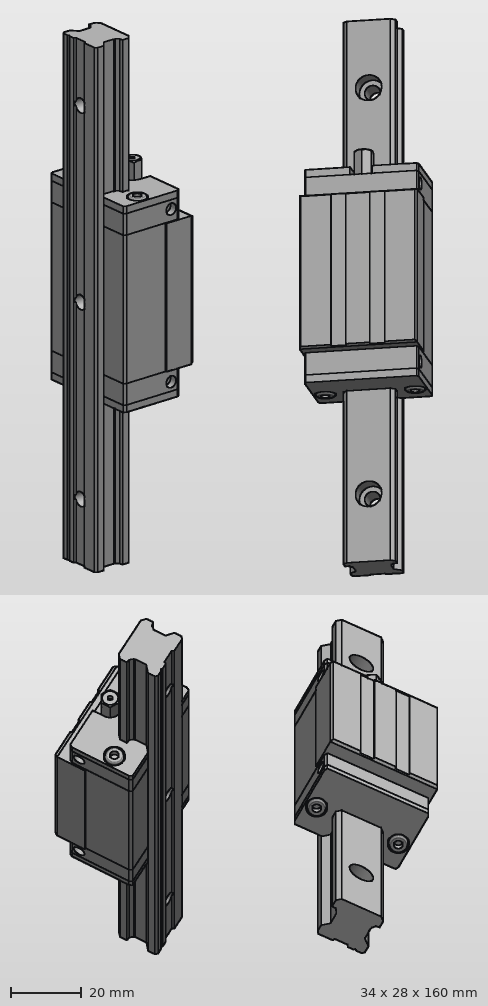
import cadquery as cq
import math

RAIL_LENGTH = 160.0
RAIL_HEIGHT = 13.1
RAIL_HALF_WIDTH = 7.5
RAIL_HALF_TOP = 6.2
RAIL_HALF_WAIST = 5.5
SHOULDER_Y = 12.0
HEAD_UNDERSIDE_Y = 9.8
HEAD_LIP = 1.1
HEAD_LIP_DROP = 0.2
WAIST_TOP_Y = 8.2
BEND_INSET = 0.2
BEND_RISE = 0.5
WAIST_BOTTOM_Y = 4.6
FOOT_Y = 2.9
FOOT_CHAMFER = 0.6
BASE_GROOVE_HALF_WIDTH = 2.4
BASE_GROOVE_HALF_FLOOR = 2.0
BASE_GROOVE_DEPTH = 0.6
MARK_GROOVE_X = -4.6
MARK_GROOVE_HALF_WIDTH = 0.5
MARK_GROOVE_DEPTH = 0.3
RAIL_HOLE_PITCH = 60.0
RAIL_HOLE_COUNT = 3
RAIL_HOLE_DIAMETER = 4.5
RAIL_BORE_DIAMETER = 7.5
RAIL_BORE_DEPTH = 5.3

CARRIAGE_Z = 2.2
CARRIAGE_BOTTOM_Y = 3.0
BLOCK_LENGTH = 45.3
BLOCK_TOP_Y = 28.0
BLOCK_WIDTH = 34.0
BLOCK_STEP_Y = 18.0
TOP_GROOVE_X = 5.6
TOP_GROOVE_WIDTH = 4.3
TOP_GROOVE_DEPTH = 0.5
CAP_WIDTH = 33.0
CAP_TOP_Y = 23.4
CAP_LENGTH = 6.5
SEAL_THICKNESS = 2.2
CHAMFER_INSET = 0.5
CHAMFER_DROP = 1.0

SIDE_HOLE_DIAMETER = 3.5
SIDE_HOLE_DEPTH = 2.4
SIDE_HOLE_Y = 20.2
SIDE_HOLE_FROM_BLOCK = 3.7

BUTTON_X = 13.0
BUTTON_Y = 10.7
BUTTON_DIAMETER = 5.5
BUTTON_HEIGHT = 0.5
BUTTON_FILLET = 0.5
BUTTON_SOCKET_DIAMETER = 2.5
BUTTON_SOCKET_DEPTH = 2.0
BUTTON_MOAT_DIAMETER = 6.0
BUTTON_MOAT_DEPTH = 0.8

NIPPLE_Y = 19.5
NIPPLE_SLOT_WIDTH = 6.4
NIPPLE_ACROSS_CORNERS = 5.8
NIPPLE_HEIGHT = 5.6
NIPPLE_TOP_DIAMETER = 4.5
NIPPLE_CHAMFER_DROP = 0.5
NIPPLE_HOLE_DIAMETER = 1.5
NIPPLE_HOLE_DEPTH = 1.6

BLOCK_END = BLOCK_LENGTH / 2
CAP_END = BLOCK_END + CAP_LENGTH
SEAL_END = CAP_END + SEAL_THICKNESS


def along_rail(points):
    """Prism with the given XY outline, along the whole rail length."""
    outline = cq.Workplane("XY").polyline(points).close()
    return outline.extrude(RAIL_LENGTH).translate((0, 0, -RAIL_LENGTH / 2))


def rail_bar():
    """Plain rail section along its full length, without grooves or holes."""
    half = [
        (RAIL_HALF_WIDTH - FOOT_CHAMFER, 0),
        (RAIL_HALF_WIDTH, FOOT_CHAMFER),
        (RAIL_HALF_WIDTH, FOOT_Y),
        (RAIL_HALF_WAIST, WAIST_BOTTOM_Y),
        (RAIL_HALF_WAIST, WAIST_TOP_Y),
        (RAIL_HALF_WAIST + BEND_INSET, WAIST_TOP_Y + BEND_RISE),
        (RAIL_HALF_WIDTH - HEAD_LIP, HEAD_UNDERSIDE_Y - HEAD_LIP_DROP),
        (RAIL_HALF_WIDTH, HEAD_UNDERSIDE_Y),
        (RAIL_HALF_WIDTH, SHOULDER_Y),
        (RAIL_HALF_TOP, RAIL_HEIGHT),
    ]
    other_half = [(-x, y) for x, y in reversed(half)]
    return along_rail(half + other_half)


def rail_hole_cutters(diameter, depth):
    """Row of cylinders reaching down from the rail top."""
    top = cq.Workplane("XZ", origin=(0, RAIL_HEIGHT, 0))
    centres = top.rarray(1.6, RAIL_HOLE_PITCH, 1, RAIL_HOLE_COUNT)
    return centres.circle(diameter / 2).extrude(depth)


def make_rail():
    rail = rail_bar()
    base_groove = along_rail([
        (-BASE_GROOVE_HALF_WIDTH, 0),
        (-BASE_GROOVE_HALF_FLOOR, BASE_GROOVE_DEPTH),
        (BASE_GROOVE_HALF_FLOOR, BASE_GROOVE_DEPTH),
        (BASE_GROOVE_HALF_WIDTH, 0),
    ])
    mark_groove = along_rail([
        (MARK_GROOVE_X - MARK_GROOVE_HALF_WIDTH, 0),
        (MARK_GROOVE_X, MARK_GROOVE_DEPTH),
        (MARK_GROOVE_X + MARK_GROOVE_HALF_WIDTH, 0),
    ])
    rail = rail.cut(base_groove).cut(mark_groove)
    rail = rail.cut(rail_hole_cutters(RAIL_HOLE_DIAMETER, RAIL_HEIGHT))
    return rail.cut(rail_hole_cutters(RAIL_BORE_DIAMETER, RAIL_BORE_DEPTH))


def carriage_slab(width, bottom_y, top_y, start, end):
    """Box centred on X = 0, between two distances from the carriage middle."""
    slab = cq.Workplane("XY").box(width, top_y - bottom_y, end - start, centered=(True, False, False))
    return slab.translate((0, bottom_y, start))


def carriage_shell(top_y, start, end, chamfer_top=True):
    """Cap-wide slab with chamfered lower corners, and upper ones if wanted, fitted round the rail."""
    side_x = CAP_WIDTH / 2
    half = [
        (side_x - CHAMFER_INSET, CARRIAGE_BOTTOM_Y),
        (side_x, CARRIAGE_BOTTOM_Y + CHAMFER_DROP),
    ]
    if chamfer_top:
        half += [(side_x, top_y - CHAMFER_DROP), (side_x - CHAMFER_INSET, top_y)]
    else:
        half += [(side_x, top_y)]
    other_half = [(-x, y) for x, y in reversed(half)]
    outline = cq.Workplane("XY", origin=(0, 0, start)).polyline(half + other_half).close()
    return outline.extrude(end - start).cut(rail_bar())


def make_block():
    lower = carriage_shell(BLOCK_STEP_Y, -BLOCK_END, BLOCK_END, chamfer_top=False)
    chamfer_start_y = BLOCK_TOP_Y - CHAMFER_DROP
    upper = carriage_slab(BLOCK_WIDTH, BLOCK_STEP_Y, chamfer_start_y, -BLOCK_END, BLOCK_END)
    chamfer_angle = math.degrees(math.atan(CHAMFER_INSET / CHAMFER_DROP))
    chamfered_top = (
        cq.Workplane("XZ", origin=(0, chamfer_start_y, 0))
        .rect(BLOCK_WIDTH, BLOCK_LENGTH)
        .extrude(-CHAMFER_DROP, taper=chamfer_angle)
    )
    block = lower.union(upper).union(chamfered_top)
    for side in (-1, 1):
        groove = carriage_slab(
            TOP_GROOVE_WIDTH, BLOCK_TOP_Y - TOP_GROOVE_DEPTH, BLOCK_TOP_Y, -BLOCK_END, BLOCK_END
        )
        block = block.cut(groove.translate((side * TOP_GROOVE_X, 0, 0)))
    return block


def make_end_cap():
    """End cap on the upper end of the block."""
    cap = carriage_shell(CAP_TOP_Y, BLOCK_END, CAP_END)
    hole_z = BLOCK_END + SIDE_HOLE_FROM_BLOCK
    for side in (-1, 1):
        face = cq.Workplane("YZ", origin=(side * CAP_WIDTH / 2, SIDE_HOLE_Y, hole_z))
        cap = cap.cut(face.circle(SIDE_HOLE_DIAMETER / 2).extrude(-side * SIDE_HOLE_DEPTH))
    return cap


def nipple_slot():
    """Round-ended slot through the seal, open towards +Y."""
    round_end = cq.Workplane("XY", origin=(0, NIPPLE_Y, CAP_END))
    round_end = round_end.circle(NIPPLE_SLOT_WIDTH / 2).extrude(SEAL_THICKNESS)
    straight = carriage_slab(NIPPLE_SLOT_WIDTH, NIPPLE_Y, CAP_TOP_Y, CAP_END, SEAL_END)
    return round_end.union(straight)


def make_end_seal(slotted):
    """End seal on the upper cap, with two raised buttons and, if wanted, the nipple slot."""
    seal = carriage_shell(CAP_TOP_Y, CAP_END, SEAL_END)
    button_top = SEAL_END + BUTTON_HEIGHT
    for side in (-1, 1):
        floor = cq.Workplane("XY", origin=(side * BUTTON_X, BUTTON_Y, SEAL_END - BUTTON_MOAT_DEPTH))
        moat = floor.circle(BUTTON_MOAT_DIAMETER / 2).extrude(BUTTON_MOAT_DEPTH)
        button = floor.circle(BUTTON_DIAMETER / 2).extrude(BUTTON_MOAT_DEPTH + BUTTON_HEIGHT)
        button = button.faces(">Z").edges().fillet(BUTTON_FILLET)
        top = cq.Workplane("XY", origin=(side * BUTTON_X, BUTTON_Y, button_top))
        socket = top.circle(BUTTON_SOCKET_DIAMETER / 2).extrude(-BUTTON_SOCKET_DEPTH)
        seal = seal.cut(moat).union(button).cut(socket)
    if slotted:
        seal = seal.cut(nipple_slot())
    return seal


def make_nipple():
    """Hexagonal grease nipple standing on the upper cap, two corners along Y."""
    height = SEAL_THICKNESS + NIPPLE_HEIGHT
    hexagon = cq.Workplane("XY").polygon(6, NIPPLE_ACROSS_CORNERS).extrude(height)
    hexagon = hexagon.rotate((0, 0, 0), (0, 0, 1), 90)
    corner_radius = NIPPLE_ACROSS_CORNERS / 2
    turned = (
        cq.Workplane("XZ")
        .polyline([
            (0, 0),
            (corner_radius, 0),
            (corner_radius, height - NIPPLE_CHAMFER_DROP),
            (NIPPLE_TOP_DIAMETER / 2, height),
            (0, height),
        ])
        .close()
        .revolve(360, (0, 0, 0), (0, 1, 0))
    )
    nipple = hexagon.intersect(turned)
    nipple = nipple.faces(">Z").workplane().hole(NIPPLE_HOLE_DIAMETER, NIPPLE_HOLE_DEPTH)
    return nipple.translate((0, NIPPLE_Y, CAP_END))


def on_carriage(body):
    """Move a body built about Z = 0 to the place of the carriage."""
    return body.translate((0, 0, CARRIAGE_Z))


rail = make_rail()
block = on_carriage(make_block())
nipple = on_carriage(make_nipple())

end_caps = []
end_seals = []
for at_upper_end in (True, False):
    cap = make_end_cap()
    seal = make_end_seal(slotted=at_upper_end)
    if not at_upper_end:
        cap = cap.mirror("XY")
        seal = seal.mirror("XY")
    end_caps.append(on_carriage(cap))
    end_seals.append(on_carriage(seal))

result = cq.Compound.makeCompound([
    rail.val(),
    block.val(),
    *[cap.val() for cap in end_caps],
    *[seal.val() for seal in end_seals],
    nipple.val(),
])